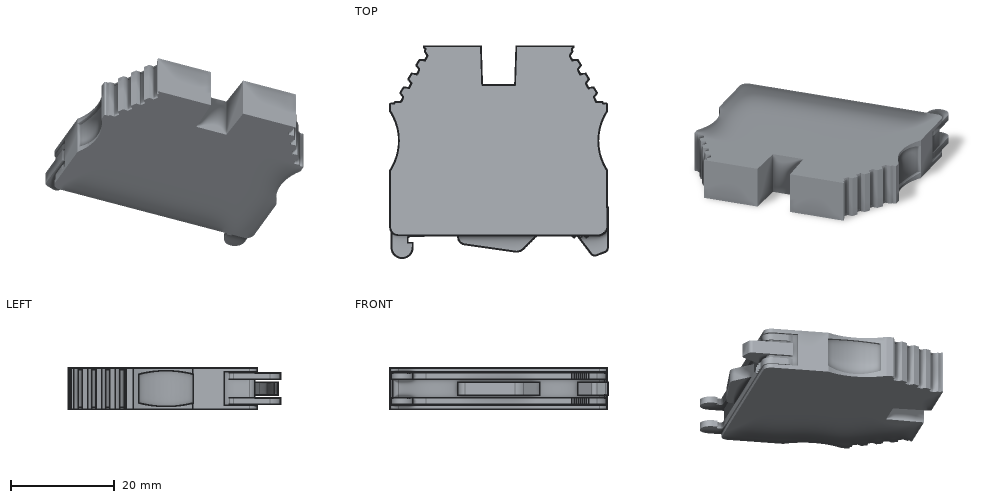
import cadquery as cq
import math

thickness = 8.0
half_width = 20.975
height = 36.5
corner_radius = 1.55

slot_mouth_half = 3.4
slot_floor_half = 3.15
slot_floor_y = 29.0

grip_count = 4
grip_pitch = 3.09
grip_angle = math.radians(30.2)
grip_start = (13.75, 34.65)
notch_corner_offset = (0.55, -1.0)
tooth_offsets = [(0.65, -0.85), (1.5, -0.78), (2.17, -1.87)]
shoulder_top = [(14.5, height), (14.5, 36.25), (14.1, 35.95), (14.3, 35.5)]
shoulder_foot = [(19.1, 25.72), (20.0, 25.75), (20.2, 25.4), (20.7, 25.5), (half_width, 25.3)]
undercut_depth = 0.2
undercut_half_z = 3.6

recess_mid_y = 18.2
recess_half_chord = 5.75
recess_sag = 1.7
pocket_depth = 0.6
pocket_bottom_y = 12.4
pocket_top_y = 22.9
pocket_end_half_z = 2.78
pocket_mid_half_z = 3.45

core_inset = 0.5
core_top_y = 6.45
core_half_gap = 3.23

rail_inner_z = 1.8
rail_outer_z = 3.05
rail_bottom_y = -0.17
rail_top_y = 5.48
rail_lead_y = 4.66
rail_right_x = 20.8
rail_corner_radius = 1.8
hook_left_x = -20.7
hook_right_x = -16.58
hook_bottom_y = -4.46
hook_lip_y = -1.45
notch_left_x = -17.5
notch_bevel_x = -17.2
notch_bevel_y = -0.42
notch_top_y = -0.27
rail_level_x = -14.1
teeth_count = 3
teeth_first_x = 14.57
teeth_pitch = 1.2
tooth_half_base = 0.4
tooth_tip_y = -0.5

foot_half_z = 1.25
foot_overlap = 0.5
latch_right_x = half_width + 0.15
latch_top_y = 5.4
latch_left_x = 15.25
latch_tip = (18.28, -4.18)
latch_tip_radius = 0.95
latch_outer_y = -3.05
latch_outer_radius = 0.9
wedge_heel = (-7.85, -1.64)
wedge_heel_radius = 1.5
wedge_toe = (4.1, -3.35)
wedge_toe_radius = 1.9

pick_margin = 0.05

core_bottom_y = core_inset
core_half_width = half_width - core_inset


def prism(outline, z_low, z_high):
    """Extrude a closed XY outline between two Z levels."""
    return outline.extrude(z_high - z_low).translate((0, 0, z_low))


def plate(outline, half_z):
    """Extrude a closed XY outline symmetrically about the mid-plane."""
    return prism(outline, -half_z, half_z)


def rounded(solid, x, y, radius):
    """Round the edge of a prism that stands at (x, y)."""
    low = (x - pick_margin, y - pick_margin, -thickness)
    high = (x + pick_margin, y + pick_margin, thickness)
    picker = cq.selectors.BoxSelector(low, high)
    return solid.edges("|Z").edges(picker).fillet(radius)


def mirrored_in_x(solid):
    return solid.union(solid.mirror("YZ"))


def grip_valley(index):
    """Innermost point of a grip notch."""
    along = index * grip_pitch
    return (
        grip_start[0] + along * math.sin(grip_angle),
        grip_start[1] - along * math.cos(grip_angle),
    )


def offset_from_valley(index, offset):
    """Point of a grip notch or tooth, given its offset from the valley."""
    x, y = grip_valley(index)
    return (x + offset[0], y + offset[1])


def shoulder_points():
    """Serrated shoulder on the +X side, from the top edge down to the side."""
    points = list(shoulder_top)
    for index in range(grip_count):
        points += [grip_valley(index), offset_from_valley(index, notch_corner_offset)]
        if index < grip_count - 1:
            points += [offset_from_valley(index, offset) for offset in tooth_offsets]
    return points + shoulder_foot


def make_housing():
    right = shoulder_points()
    left = [(-x, y) for x, y in reversed(right)]
    arc_top = recess_mid_y + recess_half_chord
    arc_bottom = recess_mid_y - recess_half_chord
    arc_mid_x = half_width - recess_sag
    outline = cq.Workplane("XY").moveTo(slot_floor_half, slot_floor_y).lineTo(slot_mouth_half, height)
    for point in right:
        outline = outline.lineTo(*point)
    outline = (
        outline.lineTo(half_width, arc_top)
        .threePointArc((arc_mid_x, recess_mid_y), (half_width, arc_bottom))
        .lineTo(half_width, 0)
        .lineTo(-half_width, 0)
        .lineTo(-half_width, arc_bottom)
        .threePointArc((-arc_mid_x, recess_mid_y), (-half_width, arc_top))
    )
    for point in left:
        outline = outline.lineTo(*point)
    outline = outline.lineTo(-slot_mouth_half, height).lineTo(-slot_floor_half, slot_floor_y).close()
    housing = plate(outline, thickness / 2)
    for side in (-1, 1):
        housing = rounded(housing, side * half_width, 0, corner_radius)
    return housing


def grip_undercuts():
    """Shallow undercuts in the grip notches that stop short of the outer faces."""
    cuts = cq.Workplane("XY")
    for index in range(grip_count):
        corner = offset_from_valley(index, notch_corner_offset)
        deep_corner = (corner[0] - undercut_depth, corner[1])
        triangle = cq.Workplane("XY").polyline([grip_valley(index), corner, deep_corner]).close()
        cuts = cuts.union(plate(triangle, undercut_half_z))
    return mirrored_in_x(cuts)


def finger_pockets():
    """Shallow barrel-shaped pockets sunk into the finger recesses."""
    recess_radius = (recess_half_chord**2 + recess_sag**2) / (2 * recess_sag)
    floor_radius = recess_radius + pocket_depth
    centre_x = half_width - recess_sag + recess_radius
    floor = plate(cq.Workplane("XY").center(centre_x, recess_mid_y).circle(floor_radius), thickness / 2)
    mid_y = (pocket_bottom_y + pocket_top_y) / 2
    barrel = (
        cq.Workplane("YZ")
        .moveTo(pocket_bottom_y, -pocket_end_half_z)
        .threePointArc((mid_y, -pocket_mid_half_z), (pocket_top_y, -pocket_end_half_z))
        .lineTo(pocket_top_y, pocket_end_half_z)
        .threePointArc((mid_y, pocket_mid_half_z), (pocket_bottom_y, pocket_end_half_z))
        .close()
        .extrude(half_width)
    )
    return mirrored_in_x(floor.intersect(barrel))


def foot_channel():
    """Space between the outer plates around the recessed core."""
    core_height = core_top_y - core_bottom_y
    core_mid_y = core_bottom_y + core_height / 2
    core = plate(
        cq.Workplane("XY").center(0, core_mid_y).rect(2 * core_half_width, core_height), core_half_gap
    )
    for side in (-1, 1):
        core = rounded(core, side * core_half_width, core_bottom_y, corner_radius - core_inset)
    space = plate(
        cq.Workplane("XY").center(0, core_top_y / 2).rect(2 * half_width, core_top_y), core_half_gap
    )
    return space.cut(core)


def make_rail():
    """Rail with the hook at its -X end and locking teeth near its +X end, on the +Z side."""
    hook_radius = (hook_right_x - hook_left_x) / 2
    hook_mid_x = (hook_right_x + hook_left_x) / 2
    hook_arc_y = hook_bottom_y + hook_radius
    outline = (
        cq.Workplane("XY")
        .moveTo(-core_half_width, rail_top_y)
        .lineTo(hook_left_x, rail_lead_y)
        .lineTo(hook_left_x, hook_arc_y)
        .threePointArc((hook_mid_x, hook_bottom_y), (hook_right_x, hook_arc_y))
        .lineTo(hook_right_x, hook_lip_y)
        .lineTo(notch_left_x, hook_lip_y)
        .lineTo(notch_left_x, notch_bevel_y)
        .lineTo(notch_bevel_x, notch_top_y)
        .lineTo(rail_level_x, rail_bottom_y)
    )
    for index in range(teeth_count):
        tip_x = teeth_first_x + index * teeth_pitch
        outline = (
            outline.lineTo(tip_x - tooth_half_base, rail_bottom_y)
            .lineTo(tip_x, tooth_tip_y)
            .lineTo(tip_x + tooth_half_base, rail_bottom_y)
        )
    outline = (
        outline.lineTo(rail_right_x, rail_bottom_y)
        .lineTo(rail_right_x, rail_lead_y)
        .lineTo(core_half_width, rail_top_y)
        .close()
    )
    rail = prism(outline, rail_inner_z, rail_outer_z)
    return rounded(rail, rail_right_x, rail_bottom_y, rail_corner_radius)


def make_wedge_foot():
    """Long wedge-shaped foot in the middle of the foot edge."""
    toe_x, toe_y = wedge_toe
    root_y = core_bottom_y + foot_overlap
    toe_root = (toe_x + root_y - toe_y, root_y)
    points = [(wedge_heel[0], root_y), wedge_heel, wedge_toe, toe_root]
    foot = plate(cq.Workplane("XY").polyline(points).close(), foot_half_z)
    foot = rounded(foot, *wedge_heel, wedge_heel_radius)
    return rounded(foot, *wedge_toe, wedge_toe_radius)


def make_latch_foot():
    """Latch foot at the +X end."""
    points = [
        (latch_left_x, latch_top_y),
        (latch_left_x, rail_bottom_y),
        latch_tip,
        (latch_right_x, latch_outer_y),
        (latch_right_x, latch_top_y),
    ]
    foot = plate(cq.Workplane("XY").polyline(points).close(), foot_half_z)
    foot = rounded(foot, *latch_tip, latch_tip_radius)
    return rounded(foot, latch_right_x, latch_outer_y, latch_outer_radius)


rail = make_rail()
result = (
    make_housing()
    .cut(grip_undercuts())
    .cut(finger_pockets())
    .cut(foot_channel())
    .union(rail)
    .union(rail.mirror("XY"))
    .union(make_wedge_foot())
    .union(make_latch_foot())
)